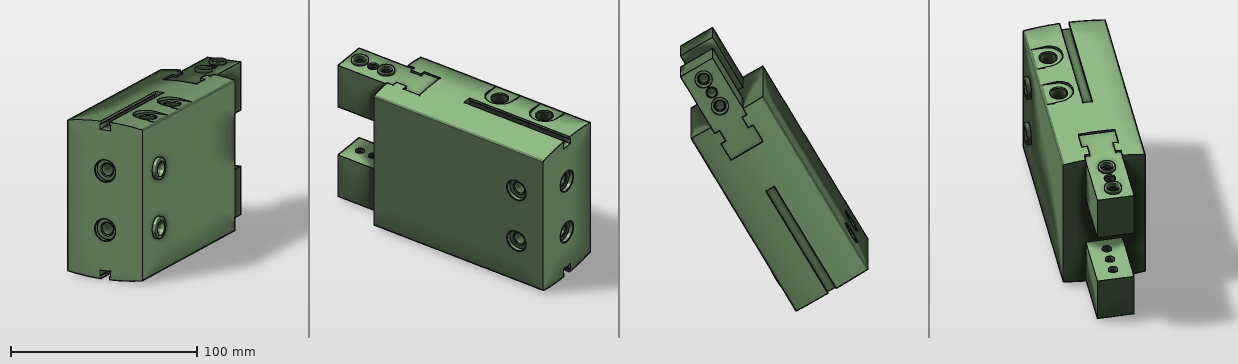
import cadquery as cq

housing_width = 45.0
housing_length = 110.0
crown_height = 88.0
side_height = 84.2
corner_radius = 0.7

slot_length = 65.0
slot_mouth_width = 5.1
slot_inner_width = 6.4
slot_depth = 4.8
slot_lip = 1.7

hole_spacing = 33.0
side_hole_y = 17.5
mount_hole_dia = 6.7
mount_bore_dia = 12.0
mount_bore_depth = 2.5
mount_chamfer = 0.5
bore_chamfer = 0.3

mount_sleeve_protrusion = 2.3
mount_sleeve_rounding = 0.4
mount_sleeve_hole_dia = 8.5

port_x = 13.6
port_rear_y = 24.0
port_spacing = 29.0
port_dia = 8.5
port_chamfer = 0.5
port_depth = 11.4
port_tip_depth = 2.5
port_seat_width = 15.9
port_seat_depth = 1.7

jaw_reach = 32.0
jaw_width = 20.0
jaw_height = 27.0
jaw_outer_face_z = 42.6
jaw_neck_width = 14.0
jaw_notch_start = 4.0
jaw_notch_end = 10.5
jaw_root = 21.0
jaw_hole_dia = 5.0
jaw_hole_chamfer = 0.5
first_hole_from_tip = 7.5
jaw_hole_pitch = 8.5

jaw_sleeve_dia = 9.2
jaw_sleeve_hole_dia = 6.7
jaw_sleeve_depth = 2.0
jaw_sleeve_protrusion = 1.7

half_width = housing_width / 2
crown_z = crown_height / 2
side_z = side_height / 2
hole_heights = [-hole_spacing / 2, hole_spacing / 2]
jaw_tip_y = housing_length + jaw_reach
jaw_hole_ys = [jaw_tip_y - first_hole_from_tip - i * jaw_hole_pitch for i in range(3)]
sleeve_ys = [jaw_hole_ys[0], jaw_hole_ys[2]]
jaw_sides = [1, -1]


def drill(start, direction, diameter, depth):
    """Straight round cutter."""
    return cq.Workplane(cq.Solid.makeCylinder(diameter / 2, depth, cq.Vector(*start), cq.Vector(*direction)))


def countersink(start, direction, diameter, chamfer):
    """Cone that chamfers the rim of a hole by 45 degrees."""
    radius = diameter / 2
    return cq.Workplane(
        cq.Solid.makeCone(radius + chamfer, radius, chamfer, cq.Vector(*start), cq.Vector(*direction))
    )


def jaw_blank(top_z, bottom_z):
    """Jaw outline with its notched neck, between two heights."""
    edge = jaw_width / 2
    neck = jaw_neck_width / 2
    notch_front = housing_length - jaw_notch_start
    notch_rear = housing_length - jaw_notch_end
    root = housing_length - jaw_root
    right_side = [(edge, jaw_tip_y), (edge, notch_front), (neck, notch_front),
                  (neck, notch_rear), (edge, notch_rear), (edge, root)]
    left_side = [(-x, y) for x, y in reversed(right_side)]
    return (
        cq.Workplane("XY", origin=(0, 0, bottom_z))
        .polyline(right_side + left_side)
        .close()
        .extrude(top_z - bottom_z)
    )


def housing_block():
    """Block with two flat sides and two slightly domed faces."""
    return (
        cq.Workplane("XZ")
        .moveTo(-half_width, -side_z)
        .threePointArc((0, -crown_z), (half_width, -side_z))
        .lineTo(half_width, side_z)
        .threePointArc((0, crown_z), (-half_width, side_z))
        .close()
        .extrude(-housing_length)
        .edges("|Y")
        .fillet(corner_radius)
    )


def sensor_slot(side):
    """T-shaped slot, open at the rear face."""
    mouth = cq.Workplane().box(slot_mouth_width, slot_length, slot_lip, centered=(True, False, False))
    mouth = mouth.translate((0, 0, crown_z - slot_lip))
    inner_height = slot_depth - slot_lip
    inner = cq.Workplane().box(slot_inner_width, slot_length, inner_height, centered=(True, False, False))
    slot = mouth.union(inner.translate((0, 0, crown_z - slot_depth)))
    return slot if side > 0 else slot.mirror("XY")


def air_port(y):
    """Blind port with a drill tip, in a flat seat that runs out to the +X side."""
    floor_z = crown_z - port_seat_depth
    seat = (
        cq.Workplane("XY", origin=(port_x, y, floor_z))
        .circle(port_seat_width / 2)
        .extrude(port_seat_depth)
    )
    run_out = cq.Workplane("XY", origin=(port_x, y, floor_z)).box(
        half_width - port_x, port_seat_width, port_seat_depth, centered=(False, True, False)
    )
    down = (0, 0, -1)
    hole = drill((port_x, y, floor_z), down, port_dia, port_depth)
    tip = cq.Workplane(
        cq.Solid.makeCone(port_dia / 2, 0, port_tip_depth,
                          cq.Vector(port_x, y, floor_z - port_depth), cq.Vector(*down))
    )
    rim = countersink((port_x, y, floor_z), down, port_dia, port_chamfer)
    return seat.union(run_out).union(hole).union(tip).union(rim)


def mount_hole(start, direction, hole_depth):
    """Counterbored hole with chamfered rims, starting on an outer face."""
    into = cq.Vector(*direction)
    floor = (cq.Vector(*start) + into * mount_bore_depth).toTuple()
    bore = drill(start, direction, mount_bore_dia, mount_bore_depth)
    hole = drill(start, direction, mount_hole_dia, hole_depth)
    bore_rim = countersink(start, direction, mount_bore_dia, bore_chamfer)
    hole_rim = countersink(floor, direction, mount_hole_dia, mount_chamfer)
    return bore.union(hole).union(bore_rim).union(hole_rim)


def make_housing():
    body = housing_block()
    for side in jaw_sides:
        body = body.cut(sensor_slot(side))
        outer_z = side * crown_z
        inner_z = side * (jaw_outer_face_z - jaw_height)
        body = body.cut(jaw_blank(max(outer_z, inner_z), min(outer_z, inner_z)))
    for y in [port_rear_y, port_rear_y + port_spacing]:
        body = body.cut(air_port(y))
    for z in hole_heights:
        body = body.cut(mount_hole((-half_width, side_hole_y, z), (1, 0, 0), housing_width))
        body = body.cut(drill((half_width, side_hole_y, z), (-1, 0, 0), mount_bore_dia, mount_bore_depth))
        body = body.cut(mount_hole((0, 0, z), (0, 1, 0), side_hole_y))
    return body


def make_jaw(side):
    """Upper jaw, or its mirror image for side = -1."""
    top = jaw_outer_face_z
    down = (0, 0, -1)
    seat_z = top - jaw_sleeve_depth
    jaw = jaw_blank(top, top - jaw_height)
    for y in jaw_hole_ys:
        rim_z = seat_z if y in sleeve_ys else top
        jaw = jaw.cut(drill((0, y, top), down, jaw_hole_dia, jaw_height))
        jaw = jaw.cut(countersink((0, y, rim_z), down, jaw_hole_dia, jaw_hole_chamfer))
    for y in sleeve_ys:
        jaw = jaw.cut(drill((0, y, top), down, jaw_sleeve_dia, jaw_sleeve_depth))
    return jaw if side > 0 else jaw.mirror("XY")


def make_mount_sleeve(z):
    """Tube in the +X counterbore, with the outer rim of its free end rounded."""
    length = mount_bore_depth + mount_sleeve_protrusion
    rod = (
        cq.Workplane("YZ", origin=(half_width - mount_bore_depth, side_hole_y, z))
        .circle(mount_bore_dia / 2)
        .extrude(length)
        .faces(">X")
        .edges()
        .fillet(mount_sleeve_rounding)
    )
    return rod.faces(">X").workplane().hole(mount_sleeve_hole_dia)


def make_jaw_sleeve(y, side):
    """Tube with a fully rounded free end, seated in the outer face of a jaw."""
    outer = jaw_sleeve_dia / 2
    inner = jaw_sleeve_hole_dia / 2
    middle = (outer + inner) / 2
    seat_z = jaw_outer_face_z - jaw_sleeve_depth
    end_z = jaw_outer_face_z + jaw_sleeve_protrusion
    round_start_z = end_z - (outer - inner) / 2
    tube = (
        cq.Workplane("XZ", origin=(0, y, 0))
        .moveTo(inner, seat_z)
        .lineTo(outer, seat_z)
        .lineTo(outer, round_start_z)
        .threePointArc((middle, end_z), (inner, round_start_z))
        .close()
        .revolve(360, (0, 0), (0, 1))
    )
    return tube if side > 0 else tube.mirror("XY")


housing = make_housing()
jaws = [make_jaw(side) for side in jaw_sides]
mount_sleeves = [make_mount_sleeve(z) for z in hole_heights]
jaw_sleeves = [make_jaw_sleeve(y, side) for side in jaw_sides for y in sleeve_ys]

bodies = [housing, *jaws, *mount_sleeves, *jaw_sleeves]
result = cq.Compound.makeCompound([body.val() for body in bodies])